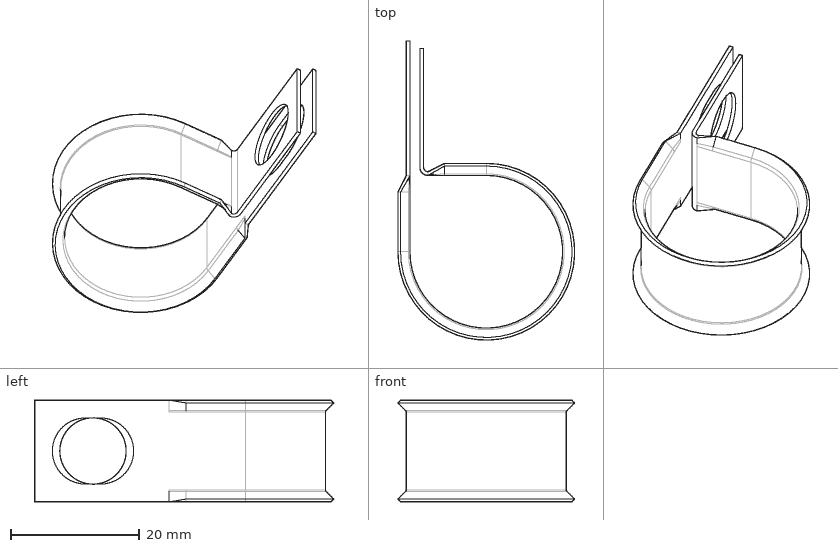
import cadquery as cq
import math

STRIP_WIDTH = 15.88
THICKNESS = 0.61

FLARE_REACH = 1.3
FLARE_ANGLE = math.radians(45)
FLARE_RADIUS = 13.815
OUTER_RADIUS = FLARE_RADIUS - FLARE_REACH
INNER_RADIUS = OUTER_RADIUS - THICKNESS
FLARE_BEND_RADIUS = THICKNESS / 2
LOOP_SWEEP = 270

TAPER_LENGTH = 2.6
LONG_ARM_FLAT_Y = INNER_RADIUS

TAB_GAP = 1.52
LONG_TAB_END_Y = 32.925
SHORT_TAB_END_Y = 31.75
CORNER_INNER_RADIUS = 0.66
CORNER_OUTER_RADIUS = CORNER_INNER_RADIUS + THICKNESS
SHORT_TAB_NEAR_X = -INNER_RADIUS + TAB_GAP
SHORT_TAB_FAR_X = SHORT_TAB_NEAR_X + THICKNESS
SHORT_ARM_FLAT_X = SHORT_TAB_NEAR_X + CORNER_OUTER_RADIUS

HOLE_Y = 23.81
HOLE_DIAMETER = 10.32
SLOT_LENGTH = 12.7

HALF_WIDTH = STRIP_WIDTH / 2
FLARE_COS = math.cos(FLARE_ANGLE)
FLARE_SIN = math.sin(FLARE_ANGLE)
BEND_SETBACK = FLARE_BEND_RADIUS * math.tan(FLARE_ANGLE / 2)
TIP_Z = HALF_WIDTH - THICKNESS * FLARE_COS
BEND_Z = TIP_Z - FLARE_REACH * math.tan(FLARE_ANGLE) - BEND_SETBACK


def bend_point(radius, angle):
    """Point (radial, z) on a flare bend arc, at an angle turned from the straight wall."""
    radial = OUTER_RADIUS + FLARE_BEND_RADIUS - radius * math.cos(angle)
    return (radial, BEND_Z + radius * math.sin(angle))


def mirrored(point):
    return (point[0], -point[1])


def outer_and_inner_bends():
    """Start, middle and end points of the bend on the outer and inner faces."""
    angles = (0, FLARE_ANGLE / 2, FLARE_ANGLE)
    outer = [bend_point(FLARE_BEND_RADIUS, angle) for angle in angles]
    inner = [bend_point(FLARE_BEND_RADIUS + THICKNESS, angle) for angle in angles]
    return outer, inner


def flared_section(plane):
    """Closed strip section with both edges flared outward."""
    outer, inner = outer_and_inner_bends()
    tip = (FLARE_RADIUS, TIP_Z)
    rim = (FLARE_RADIUS - THICKNESS * FLARE_SIN, HALF_WIDTH)
    return (
        cq.Workplane(plane)
        .moveTo(*mirrored(outer[0]))
        .lineTo(*outer[0])
        .threePointArc(outer[1], outer[2])
        .lineTo(*tip)
        .lineTo(*rim)
        .lineTo(*inner[2])
        .threePointArc(inner[1], inner[0])
        .lineTo(*mirrored(inner[0]))
        .threePointArc(mirrored(inner[1]), mirrored(inner[2]))
        .lineTo(*mirrored(rim))
        .lineTo(*mirrored(tip))
        .lineTo(*mirrored(outer[2]))
        .threePointArc(mirrored(outer[1]), mirrored(outer[0]))
        .close()
    )


def flat_section(plane):
    """Flat strip section, split at the same heights as the flared one."""
    outer, inner = outer_and_inner_bends()
    outer_side = [(OUTER_RADIUS, z) for z in (outer[0][1], outer[2][1], HALF_WIDTH)]
    inner_side = [(INNER_RADIUS, z) for z in (HALF_WIDTH, inner[2][1], inner[0][1])]
    upper_half = outer_side + inner_side
    lower_half = [mirrored(point) for point in reversed(upper_half)]
    return cq.Workplane(plane).polyline([lower_half[-1]] + upper_half + lower_half[:-1]).close()


def arm(outward, along, flat_at):
    """Flared straight arm leaving the loop, with its taper to the flat strip."""
    def plane_at(distance):
        origin = tuple(distance * component for component in along)
        return cq.Plane(origin=origin, xDir=outward, normal=along)

    taper_start = flat_at - TAPER_LENGTH
    straight = flared_section(plane_at(0)).extrude(taper_start)
    flared_wire = flared_section(plane_at(taper_start)).wire().val()
    flat_wire = flat_section(plane_at(flat_at)).wire().val()
    taper = cq.Workplane(cq.Solid.makeLoft([flared_wire, flat_wire], True))
    return straight.union(taper)


def loop():
    start = cq.Plane(origin=(0, 0, 0), xDir=(-1, 0, 0), normal=(0, 1, 0))
    return flared_section(start).revolve(LOOP_SWEEP, (0, 0), (0, 1))


def strip_plane():
    return cq.Workplane("XY", origin=(0, 0, -HALF_WIDTH))


def hole_cutter(length, near_x, far_x):
    """Round-ended cutter through the X range of one tab; length is its size along Y."""
    profile = cq.Workplane("YZ", origin=(near_x, HOLE_Y, 0))
    if length > HOLE_DIAMETER:
        profile = profile.slot2D(length, HOLE_DIAMETER)
    else:
        profile = profile.circle(HOLE_DIAMETER / 2)
    return profile.extrude(far_x - near_x)


def long_tab():
    """Flat tab continuing the long arm, with the slotted hole."""
    tab = (
        strip_plane()
        .moveTo(-OUTER_RADIUS, LONG_ARM_FLAT_Y)
        .lineTo(-INNER_RADIUS, LONG_ARM_FLAT_Y)
        .lineTo(-INNER_RADIUS, LONG_TAB_END_Y)
        .lineTo(-OUTER_RADIUS, LONG_TAB_END_Y)
        .close()
        .extrude(STRIP_WIDTH)
    )
    return tab.cut(hole_cutter(SLOT_LENGTH, -OUTER_RADIUS, -INNER_RADIUS))


def short_tab():
    """Rounded corner and flat tab continuing the short arm, with the round hole."""
    corner_y = INNER_RADIUS + CORNER_OUTER_RADIUS
    diagonal = math.sqrt(0.5)
    outer_middle = (
        SHORT_ARM_FLAT_X - CORNER_OUTER_RADIUS * diagonal,
        corner_y - CORNER_OUTER_RADIUS * diagonal,
    )
    inner_middle = (
        SHORT_ARM_FLAT_X - CORNER_INNER_RADIUS * diagonal,
        corner_y - CORNER_INNER_RADIUS * diagonal,
    )
    tab = (
        strip_plane()
        .moveTo(SHORT_ARM_FLAT_X, INNER_RADIUS)
        .threePointArc(outer_middle, (SHORT_TAB_NEAR_X, corner_y))
        .lineTo(SHORT_TAB_NEAR_X, SHORT_TAB_END_Y)
        .lineTo(SHORT_TAB_FAR_X, SHORT_TAB_END_Y)
        .lineTo(SHORT_TAB_FAR_X, corner_y)
        .threePointArc(inner_middle, (SHORT_ARM_FLAT_X, OUTER_RADIUS))
        .close()
        .extrude(STRIP_WIDTH)
    )
    return tab.cut(hole_cutter(HOLE_DIAMETER, SHORT_TAB_NEAR_X, SHORT_TAB_FAR_X))


long_arm = arm(outward=(-1, 0, 0), along=(0, 1, 0), flat_at=LONG_ARM_FLAT_Y)
short_arm = arm(outward=(0, 1, 0), along=(-1, 0, 0), flat_at=-SHORT_ARM_FLAT_X)

result = loop().union(long_arm).union(short_arm).union(long_tab()).union(short_tab())